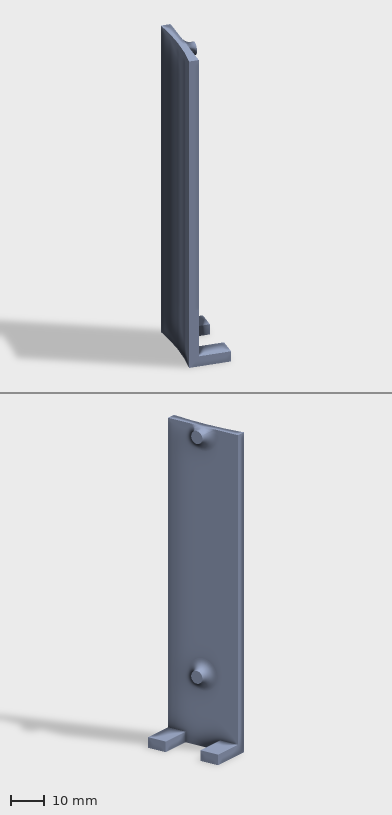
import cadquery as cq

width = 25.4
height = 101.6
edge_thickness = 3.0
hollow_depth = 0.9

foot_reach = 10.2
foot_width = width / 4
foot_height = 3.4

peg_radius = 2.0
peg_length = 3.1
flare_radius = 3.0
lower_peg_z = 23.0
upper_peg_z = height - 2.5


def make_plate():
    half = width / 2
    return (
        cq.Workplane("XY")
        .moveTo(-half, 0)
        .threePointArc((0, hollow_depth), (half, 0))
        .lineTo(half, edge_thickness)
        .lineTo(-half, edge_thickness)
        .close()
        .extrude(height)
    )


def make_foot(side):
    center_x = side * (width - foot_width) / 2
    return (
        cq.Workplane("XY")
        .center(center_x, edge_thickness + foot_reach / 2)
        .rect(foot_width, foot_reach)
        .extrude(foot_height)
    )


def add_flared_pegs(body):
    """Add the pegs and blend their roots; the upper blend stops at the plate's top edge."""
    pegs = (
        cq.Workplane("XZ", origin=(0, edge_thickness, 0))
        .pushPoints([(0, lower_peg_z), (0, upper_peg_z)])
        .circle(peg_radius)
        .extrude(-peg_length)
    )
    root_box = cq.selectors.BoxSelector(
        (-width / 2, edge_thickness - peg_length / 2, 0),
        (width / 2, edge_thickness + peg_length / 2, height),
    )
    peg_roots = body.union(pegs).edges("%CIRCLE").edges(root_box)
    return peg_roots.fillet(flare_radius)


result = make_plate()
for side in (-1, 1):
    result = result.union(make_foot(side))
result = add_flared_pegs(result)